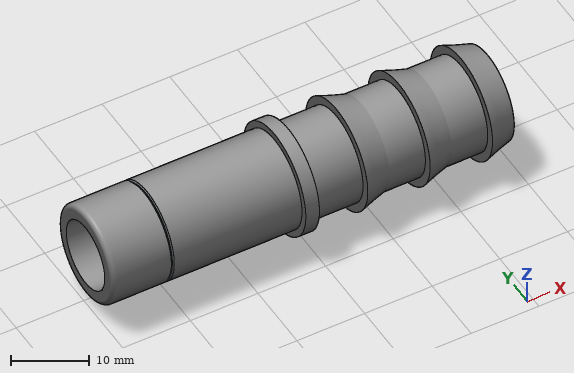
import cadquery as cq

LENGTH = 59.5
BORE_RADIUS = 4.95

TUBE_RADIUS = 7.0
TUBE_END_FILLET = 0.7
GROOVE_CENTER = 8.85
GROOVE_WIDTH = 0.4
GROOVE_FLOOR_WIDTH = 0.1
GROOVE_DEPTH = 0.25

FLANGE_START = 27.95
FLANGE_WIDTH = 2.0
FLANGE_DIAMETER = 16.0
FLANGE_RADIUS = FLANGE_DIAMETER / 2

SPIGOT_RADIUS = 6.8
BARB_RADIUS = FLANGE_RADIUS
BARB_COUNT = 3
BARB_LENGTH = 3.9
BARB_PITCH = 9.2


def cylinder(start, end, radius):
    """Solid cylinder on the X axis between two positions."""
    return cq.Workplane("YZ", origin=(start, 0, 0)).circle(radius).extrude(end - start)


def revolve_about_x(profile):
    """Revolve a closed outline of (x, radius) points around the X axis."""
    return cq.Workplane("XY").polyline(profile).close().revolve(360, (0, 0, 0), (1, 0, 0))


def make_tube():
    """Tube end with a rounded entry edge and a shallow groove with sloping walls."""
    tube = cylinder(0, FLANGE_START, TUBE_RADIUS).faces("<X").edges().fillet(TUBE_END_FILLET)
    floor_radius = TUBE_RADIUS - GROOVE_DEPTH
    groove = revolve_about_x([
        (GROOVE_CENTER - GROOVE_WIDTH / 2, TUBE_RADIUS),
        (GROOVE_CENTER - GROOVE_FLOOR_WIDTH / 2, floor_radius),
        (GROOVE_CENTER + GROOVE_FLOOR_WIDTH / 2, floor_radius),
        (GROOVE_CENTER + GROOVE_WIDTH / 2, TUBE_RADIUS),
    ])
    return tube.cut(groove)


def make_barb(start):
    """Cone with its sharp step facing the flange, tapering down to the spigot."""
    end = start + BARB_LENGTH
    return revolve_about_x([
        (start, 0),
        (start, BARB_RADIUS),
        (end, SPIGOT_RADIUS),
        (end, 0),
    ])


flange_end = FLANGE_START + FLANGE_WIDTH
body = make_tube()
body = body.union(cylinder(FLANGE_START, flange_end, FLANGE_RADIUS))
body = body.union(cylinder(flange_end, LENGTH, SPIGOT_RADIUS))

last_barb_start = LENGTH - BARB_LENGTH
for index in range(BARB_COUNT):
    body = body.union(make_barb(last_barb_start - index * BARB_PITCH))

result = body.cut(cylinder(0, LENGTH, BORE_RADIUS))